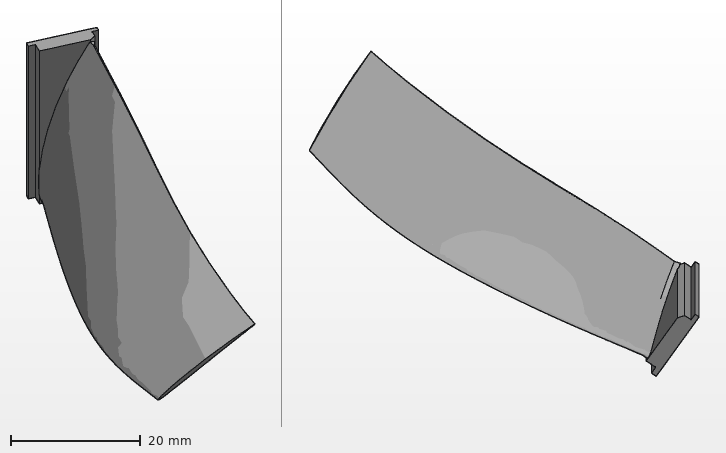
import cadquery as cq
import math

span = 63.75
plate_depth = 11.6
plate_height = 29.25

flange_front = 0.9
flange_back = 0.75
platform_top = 2.7
platform_front = 1.15
platform_back = 10.5
bevel_start = 2.0
bevel_back = 9.55

collar_start = 2.55
collar_end = 3.5
collar_flare = 0.3

tip_back = (63.25, 14.3)
tip_crown = (span, 3.05)
tip_front = (63.6, -2.55)
margin = 6.4
tip_trim = 0.65

stations = [
    (collar_end, (1.65, 0.3), (9.8, 28.75), 1.65, 2.15),
    (14.65, (-0.6, 0.4), (11.0, 24.3), 1.65, 1.9),
    (26.25, (-2.6, 0.95), (11.55, 20.7), 1.3, 1.45),
    (37.8, (-4.15, 2.3), (11.85, 18.2), 0.95, 1.15),
    (49.35, (-4.35, 3.7), (12.5, 16.7), 0.7, 0.95),
    (58.0, (-3.2, 4.8), (13.3, 15.95), 0.6, 0.8),
    (span + tip_trim, (-1.9, 5.5), (14.2, 15.55), 0.5, 0.75),
]
edge_share = 0.12
nose_fullness = 1.3
section_steps = 8


def half_thickness(t, thickness):
    """Half thickness at chord fraction t: round nose, thin trailing edge."""
    nose = nose_fullness * thickness * math.sqrt(t) * (1 - t)
    return nose + edge_share * thickness * t / 2


def section_wire(x, lead, trail, bow, thickness, flare=0.0):
    """Cambered airfoil in the plane at x, bowed towards -Y and +Z."""
    dy = trail[0] - lead[0]
    dz = trail[1] - lead[1]
    chord = math.hypot(dy, dz)
    normal_y = -dz / chord
    normal_z = dy / chord

    def point(t, side):
        camber = 4 * bow * t * (1 - t)
        skin_offset = half_thickness(t, thickness) + flare * math.sqrt(t)
        offset = camber + side * skin_offset
        return cq.Vector(x, lead[0] + dy * t + normal_y * offset, lead[1] + dz * t + normal_z * offset)

    fractions = [(i / section_steps) ** 2 for i in range(section_steps + 1)]
    convex_side = [point(t, 1) for t in reversed(fractions)]
    hollow_side = [point(t, -1) for t in fractions[1:]]
    outline = convex_side + hollow_side
    skin = cq.Edge.makeSpline(outline)
    trailing_edge = cq.Edge.makeLine(outline[-1], outline[0])
    return cq.Wire.assembleEdges([skin, trailing_edge])


def make_root():
    profile = (
        cq.Workplane("XY")
        .moveTo(0, 0)
        .lineTo(flange_front, 0)
        .lineTo(flange_front, platform_front)
        .lineTo(platform_top, platform_front)
        .lineTo(platform_top, bevel_back)
        .lineTo(bevel_start, platform_back)
        .lineTo(flange_back, platform_back)
        .lineTo(flange_back, plate_depth)
        .lineTo(0, plate_depth)
        .close()
    )
    return profile.extrude(plate_height)


def make_collar():
    root_station = stations[0]
    flared = section_wire(collar_start, *root_station[1:], flare=collar_flare)
    return cq.Workplane(cq.Solid.makeLoft([flared, section_wire(*root_station)], True))


def make_blade():
    blade = cq.Workplane(cq.Solid.makeLoft([section_wire(*s) for s in stations]))
    tip_bound = (
        cq.Workplane("XY")
        .moveTo(0, tip_front[1] - margin)
        .lineTo(tip_front[0], tip_front[1] - margin)
        .lineTo(*tip_front)
        .threePointArc(tip_crown, tip_back)
        .lineTo(tip_back[0], tip_back[1] + margin)
        .lineTo(0, tip_back[1] + margin)
        .close()
        .extrude(plate_height + margin)
    )
    return blade.intersect(tip_bound)


result = make_root().union(make_collar()).union(make_blade())